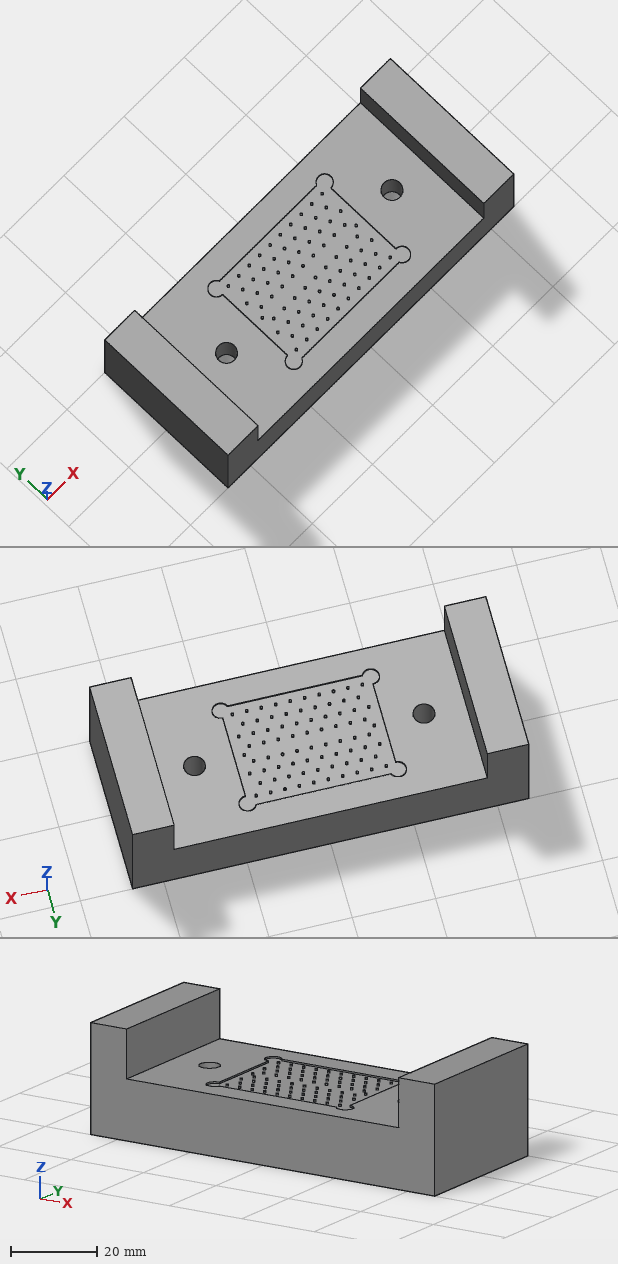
import cadquery as cq
import math

length = 95.0
width = 40.0
height = 27.1
floor_height = 15.0
wall_thickness = 10.0

pocket_length = 36.0
pocket_width = 26.7
pocket_depth = 0.4
relief_diameter = 4.0
relief_inset = 0.81

side_hole_diameter = 5.0
side_hole_spacing = 55.0
side_hole_depth = 10.0
drill_point_angle = 118.0

pin_diameter = 0.6
pin_height = 0.4
pattern_length = 31.2
pattern_width = 22.0
pins_in_long_row = 10
rows_per_side = 4
pin_pitch = pattern_length / (pins_in_long_row - 1)
row_pitch = pin_pitch * math.sin(math.radians(60))

pocket_floor = floor_height - pocket_depth


def make_body():
    block = cq.Workplane("XY").box(length, width, height, centered=(True, True, False))
    gap = cq.Workplane("XY", origin=(0, 0, floor_height)).box(
        length - 2 * wall_thickness, width, height - floor_height, centered=(True, True, False)
    )
    return block.cut(gap)


def make_pocket():
    plane = cq.Workplane("XY", origin=(0, 0, pocket_floor))
    recess = plane.rect(pocket_length, pocket_width).extrude(pocket_depth)
    reliefs = (
        plane.rect(pocket_length, pocket_width - 2 * relief_inset, forConstruction=True)
        .vertices()
        .circle(relief_diameter / 2)
        .extrude(pocket_depth)
    )
    return recess.union(reliefs)


def make_side_hole(x):
    """Half profile of the drilled hole, turned about its own axis."""
    radius = side_hole_diameter / 2
    point_height = radius / math.tan(math.radians(drill_point_angle / 2))
    return (
        cq.Workplane("XZ", origin=(x, 0, floor_height))
        .lineTo(radius, 0)
        .lineTo(radius, -side_hole_depth)
        .lineTo(0, -side_hole_depth - point_height)
        .close()
        .revolve(360, (0, 0), (0, 1))
    )


def pin_centres():
    """Long and short rows alternate inwards; one extra pin closes each end of the middle gap."""
    centres = [(-pattern_length / 2, 0), (pattern_length / 2, 0)]
    for row in range(rows_per_side):
        y = pattern_width / 2 - row * row_pitch
        count = pins_in_long_row - row % 2
        for column in range(count):
            x = (column - (count - 1) / 2) * pin_pitch
            centres += [(x, y), (x, -y)]
    return centres


def make_pins():
    return (
        cq.Workplane("XY", origin=(0, 0, pocket_floor))
        .pushPoints(pin_centres())
        .circle(pin_diameter / 2)
        .extrude(pin_height)
    )


result = make_body().cut(make_pocket()).union(make_pins())
for side in (-1, 1):
    result = result.cut(make_side_hole(side * side_hole_spacing / 2))